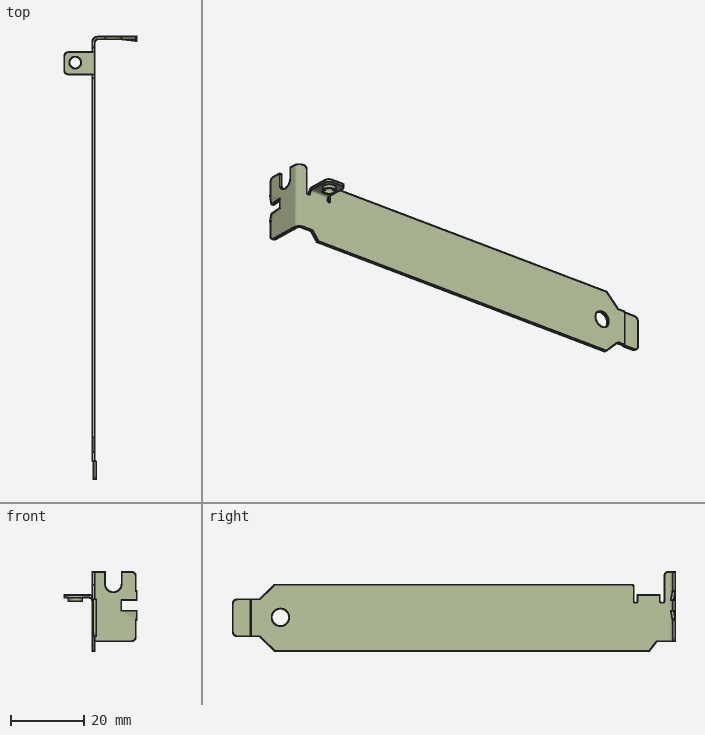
import cadquery as cq

length = 120.9
sheet = 0.79
bend_inner = 0.8
bend_outer = bend_inner + sheet
plate_height = 18.1
mid_height = plate_height / 2

tongue_width = 10.2
tongue_low = mid_height - tongue_width / 2
tongue_high = mid_height + tongue_width / 2
tongue_length = 4.8
joggle_length = 0.2
tongue_offset = 0.4
tongue_corner = 1.3
neck_end = 7.4
shoulder_start = 11.5
plate_hole_diameter = 4.7
plate_hole_y = 13.0
plate_hole_z = 9.2

flange_reach = 12.0
flange_low = 2.7
flange_high = 21.6
flange_corner = 1.2
strip_edge = 117.8
strip_corner = 1.1
lower_cut_start = 113.7
lower_cut_end = 115.8

screw_slot_width = 4.5
screw_slot_x = 5.8
screw_slot_bottom = 16.1
notch_start = 8.0
notch_low = 11.0
notch_high = 13.9
barb_reach = 12.2
barb_rise = 2.5
barb_push = 0.5

tab_low_y = 110.5
tab_high_y = 116.6
tab_reach = 7.6
tab_top = 15.4
tab_corner = 1.2
relief_bottom = 13.2
relief_end = 109.5
relief_fillet = 0.42
plate_corner = 0.6
collar_diameter = 3.9
collar_hole_diameter = 3.1
collar_x = -4.6
collar_y = 113.7
collar_bottom = 13.5


def bent_sheet():
    """Plan profile of the tongue, joggle, plate and flange, extruded upwards."""
    joggle_end = tongue_length + joggle_length
    return (
        cq.Workplane("XY")
        .moveTo(tongue_offset, 0)
        .lineTo(tongue_offset, tongue_length)
        .lineTo(0, joggle_end)
        .lineTo(0, length - bend_outer)
        .radiusArc((bend_outer, length), bend_outer)
        .lineTo(flange_reach, length)
        .lineTo(flange_reach, length - sheet)
        .lineTo(bend_outer, length - sheet)
        .radiusArc((sheet, length - bend_outer), -bend_inner)
        .lineTo(sheet, joggle_end)
        .lineTo(tongue_offset + sheet, tongue_length)
        .lineTo(tongue_offset + sheet, 0)
        .close()
        .extrude(flange_high)
    )


def side_outline():
    """Solid spanning the part in X whose YZ section is the plate outline."""
    outline = (
        cq.Workplane("YZ")
        .polyline([
            (0, tongue_low),
            (neck_end, tongue_low),
            (shoulder_start, 0),
            (lower_cut_start, 0),
            (lower_cut_end, flange_low),
            (length, flange_low),
            (length, flange_high),
            (strip_edge, flange_high),
            (strip_edge, relief_bottom),
            (tab_high_y, relief_bottom),
            (tab_high_y, tab_top - bend_outer),
            (tab_low_y, tab_top - bend_outer),
            (tab_low_y, relief_bottom),
            (relief_end, relief_bottom),
            (relief_end, plate_height),
            (shoulder_start, plate_height),
            (neck_end, tongue_high),
            (0, tongue_high),
        ])
        .close()
        .extrude(barb_reach)
    )

    def round_corners(solid, corners, radius):
        for y, z in corners:
            edge = cq.selectors.NearestToPointSelector((barb_reach / 2, y, z))
            solid = solid.edges("|X").edges(edge).fillet(radius)
        return solid

    outline = round_corners(outline, [(0, tongue_low), (0, tongue_high)], tongue_corner)
    outline = round_corners(outline, [(strip_edge, flange_high)], strip_corner)
    outline = round_corners(outline, [(relief_end, plate_height)], plate_corner)
    relief_corners = [(y, relief_bottom) for y in (strip_edge, tab_high_y, tab_low_y, relief_end)]
    return round_corners(outline, relief_corners, relief_fillet)


def flange_cutter():
    """Open screw slot and the rectangular notch, both through the flange in Y."""
    radius = screw_slot_width / 2
    slot_centre = screw_slot_bottom + radius
    workplane = cq.Workplane("XZ", origin=(0, length, 0))
    slot = (
        workplane.moveTo(screw_slot_x - radius, flange_high)
        .lineTo(screw_slot_x - radius, slot_centre)
        .threePointArc((screw_slot_x, screw_slot_bottom), (screw_slot_x + radius, slot_centre))
        .lineTo(screw_slot_x + radius, flange_high)
        .close()
        .extrude(sheet)
    )
    notch = (
        workplane.moveTo(notch_start, notch_low)
        .lineTo(barb_reach, notch_low)
        .lineTo(barb_reach, notch_high)
        .lineTo(notch_start, notch_high)
        .close()
        .extrude(sheet)
    )
    return slot.union(notch)


def barb_corners(notch_edge, side):
    """XZ corners of the triangle beside the notch: root, fold end and tip."""
    return [
        (notch_start, notch_edge),
        (barb_reach, notch_edge + side * barb_rise),
        (barb_reach, notch_edge),
    ]


def barb_blank(notch_edge, side):
    """Flat flange corner that is replaced by a folded barb."""
    corners = barb_corners(notch_edge, side)
    return cq.Workplane("XZ", origin=(0, length, 0)).polyline(corners).close().extrude(sheet)


def barb(notch_edge, side):
    """Triangle of sheet folded so that its free tip stands out towards -Y."""
    shifts = (0, 0, barb_push)
    corners = barb_corners(notch_edge, side)
    points = [cq.Vector(x, length - sheet - shift, z) for (x, z), shift in zip(corners, shifts)]
    face = cq.Face.makeFromWires(cq.Wire.makePolygon(points, close=True))
    return cq.Workplane(cq.Solid.extrudeLinear(face, cq.Vector(0, sheet, 0)))


def screw_tab():
    """Tab bent out of the plate, with rounded free corners and a pierced collar."""
    bend_start = tab_top - bend_outer
    tab = (
        cq.Workplane("XZ", origin=(0, tab_high_y, 0))
        .moveTo(0, relief_bottom)
        .lineTo(sheet, relief_bottom)
        .lineTo(sheet, bend_start)
        .radiusArc((-bend_inner, tab_top), -bend_outer)
        .lineTo(-tab_reach, tab_top)
        .lineTo(-tab_reach, tab_top - sheet)
        .lineTo(-bend_inner, tab_top - sheet)
        .radiusArc((0, bend_start), bend_inner)
        .close()
        .extrude(tab_high_y - tab_low_y)
        .edges("|Z and <X")
        .fillet(tab_corner)
    )
    workplane = cq.Workplane("XY", origin=(collar_x, collar_y, collar_bottom))
    collar_height = tab_top - collar_bottom
    collar = workplane.circle(collar_diameter / 2).extrude(collar_height)
    hole = workplane.circle(collar_hole_diameter / 2).extrude(collar_height)
    return tab.union(collar).cut(hole)


plate_hole = (
    cq.Workplane("YZ")
    .center(plate_hole_y, plate_hole_z)
    .circle(plate_hole_diameter / 2)
    .extrude(sheet)
)

result = bent_sheet().intersect(side_outline()).cut(plate_hole)
result = result.faces(">X").edges("|Y").fillet(flange_corner)
result = result.cut(flange_cutter())
for notch_edge, side in ((notch_low, -1), (notch_high, 1)):
    result = result.cut(barb_blank(notch_edge, side)).union(barb(notch_edge, side))
result = result.union(screw_tab())